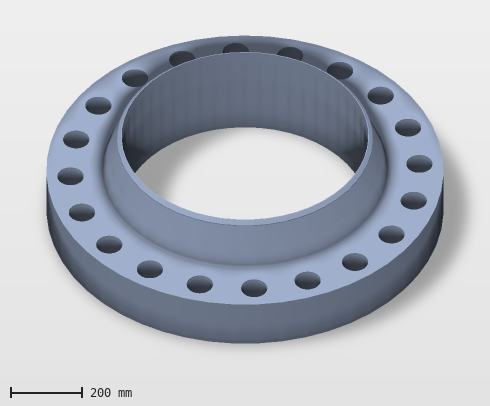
import cadquery as cq
import math

flange_diameter = 1105.0
flange_thickness = 147.6
raised_face_diameter = 819.0
raised_face_height = 6.35
overall_height = 282.7
bore_diameter = 685.8

pipe_diameter = 711.2
hub_base_diameter = 797.0
hub_fillet_radius = 10.0
weld_land_width = 2.0
bevel_angle = 45.0
weld_neck_length = 3.0

bolt_count = 20
bolt_circle_diameter = 971.6
bolt_hole_diameter = 73.0

bore_radius = bore_diameter / 2
raised_face_radius = raised_face_diameter / 2
flange_radius = flange_diameter / 2
hub_base_radius = hub_base_diameter / 2
pipe_radius = pipe_diameter / 2
land_radius = bore_radius + weld_land_width
hub_top = overall_height - raised_face_height
bevel_bottom = hub_top - (pipe_radius - land_radius) / math.tan(math.radians(bevel_angle))
taper_top = bevel_bottom - weld_neck_length


def flange_body():
    """Revolve the half section: raised face, plate, tapered hub, weld neck and bevel."""
    half_section = [
        (bore_radius, -raised_face_height),
        (raised_face_radius, -raised_face_height),
        (raised_face_radius, 0),
        (flange_radius, 0),
        (flange_radius, flange_thickness),
        (hub_base_radius, flange_thickness),
        (pipe_radius, taper_top),
        (pipe_radius, bevel_bottom),
        (land_radius, hub_top),
        (bore_radius, hub_top),
    ]
    return cq.Workplane("XZ").polyline(half_section).close().revolve(360, (0, 0), (0, 1))


def round_hub_root(body):
    """Fillet the inside corner where the hub meets the plate."""
    reach = (hub_base_radius + flange_radius) / 2
    below = flange_thickness - hub_fillet_radius
    above = flange_thickness + hub_fillet_radius
    hub_root = cq.selectors.BoxSelector((-reach, -reach, below), (reach, reach, above), boundingbox=True)
    return body.edges(hub_root).fillet(hub_fillet_radius)


def bolt_holes():
    """Ring of through holes for the plate, the first one on the +X axis."""
    return (
        cq.Workplane("XY")
        .polarArray(bolt_circle_diameter / 2, 0, 360, bolt_count)
        .circle(bolt_hole_diameter / 2)
        .extrude(flange_thickness)
    )


result = round_hub_root(flange_body()).cut(bolt_holes())